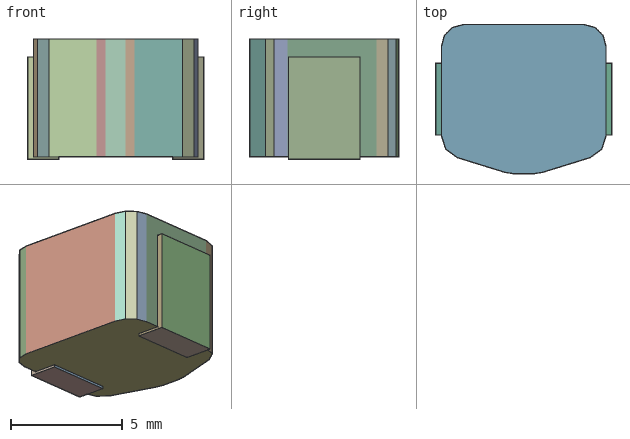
import cadquery as cq
import math

total_width = 7.9
depth = 6.7
total_height = 5.4

terminal_wall = 0.25
terminal_foot = 0.11
terminal_breadth = 3.22
terminal_height = 4.6
foot_length = 1.4

housing_half_width = total_width / 2 - terminal_wall
housing_height = total_height - terminal_foot
rear_radius = 1.0
rear_facets = 3
front_radius = 1.04
front_facets = 2
front_corner_setback = 1.715
nose_radius = 1.25
nose_facets = 1
nose_flat_half_width = 0.46
slope_angle = 18.4


def faceted_corner(center, radius, start_angle, end_angle, facets):
    """Points on an arc, joined later by straight facets; angles in degrees."""
    step = (end_angle - start_angle) / facets
    angles = [math.radians(start_angle + step * i) for i in range(facets + 1)]
    return [(center[0] + radius * math.cos(a), center[1] + radius * math.sin(a)) for a in angles]


def make_housing():
    """Prism with a flat back, straight sides and a blunt, sloping front."""
    rear_y = depth / 2
    nose_y = -depth / 2
    slope_direction = slope_angle - 90

    nose = faceted_corner(
        (nose_flat_half_width, nose_y + nose_radius), nose_radius, -90, slope_direction, nose_facets
    )
    front_corner = faceted_corner(
        (housing_half_width - front_radius, nose_y + front_corner_setback),
        front_radius, slope_direction, 0, front_facets,
    )
    rear_corner = faceted_corner(
        (housing_half_width - rear_radius, rear_y - rear_radius), rear_radius, 0, 90, rear_facets
    )

    right_half = nose + front_corner + rear_corner
    left_half = [(-x, y) for x, y in reversed(right_half)]
    outline = cq.Workplane("XY", origin=(0, 0, terminal_foot)).polyline(right_half + left_half).close()
    return outline.extrude(housing_height)


def make_terminal(side):
    """L-shaped plate on one side (+1 or -1): a wall up the side and a foot under the housing."""
    outer_x = side * total_width / 2
    inner_x = side * housing_half_width
    foot_end_x = side * (total_width / 2 - foot_length)
    profile = [
        (outer_x, 0),
        (outer_x, terminal_height),
        (inner_x, terminal_height),
        (inner_x, terminal_foot),
        (foot_end_x, terminal_foot),
        (foot_end_x, 0),
    ]
    return cq.Workplane("XZ").polyline(profile).close().extrude(terminal_breadth / 2, both=True)


housing = make_housing()
terminals = [make_terminal(side) for side in (-1, 1)]

result = cq.Compound.makeCompound([housing.val(), *[terminal.val() for terminal in terminals]])